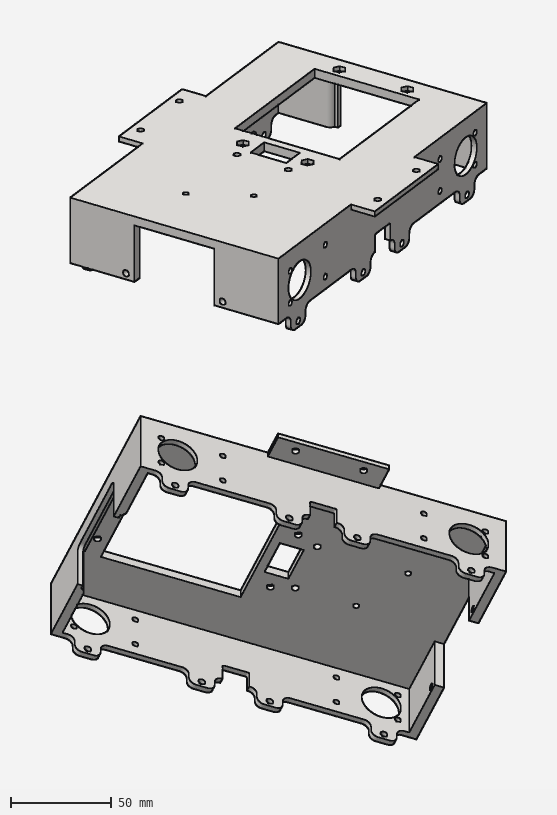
import cadquery as cq

length = 195.5
body_width = 122.4
total_width = 150.3
total_height = 47.0

plate_thickness = 5.0
wall_depth = 37.0
side_wall = 3.1
end_wall = 5.0
cut_margin = 2.0

flange_length = 59.5
flange_thickness = 3.0
flange_hole_x = 69.6
flange_hole_y = 18.2
hole_diameter = 3.5

tab_width = 13.9
tab_hole_depth = 43.4
inner_tab_y = 18.2
outer_tab_y = 79.2
tab_corner_radius = 4.0
tab_root_radius = 4.0

notch_width = 14.3
notch_top = 27.0
notch_corner_radius = 1.0

shaft_y = 77.8
shaft_diameter = 21.0
motor_axis_depth = 21.0
motor_screw_diameter = 3.1
motor_screw_spacing_z = 18.0
motor_screw_ys = (53.8, 86.6)

window_width = 61.4
window_y_min = 8.2
window_y_max = 82.9
slot_width = 21.0
slot_y_min = -9.4
slot_y_max = 3.3

nut_places = ((20.0, 89.0), (19.0, -3.1))
nut_corner_diameter = 6.8
nut_depth = 2.5
nut_screw_diameter = 3.5
plate_hole_x = 15.0
plate_hole_y = -14.9
small_hole_diameter = 3.0
small_hole_places = ((15.2, -47.5), (-14.7, -63.5))

front_opening_width = 46.7
front_hole_x = 28.3
front_hole_depth = 33.5

back_opening_width = 49.3
back_opening_top = 10.4
back_corner_radius = 3.5
back_lip = 2.7
inner_opening_width = 53.2
inner_opening_top = 8.5
inner_round_width = 3.3
inner_round_radius = 3.5


def block(x_min, x_max, y_min, y_max, z_min, z_max):
    size = (x_max - x_min, y_max - y_min, z_max - z_min)
    return cq.Workplane("XY").box(*size, centered=False).translate((x_min, y_min, z_min))


def centred_block(width, y_min, y_max, z_min, z_max):
    return block(-width / 2, width / 2, y_min, y_max, z_min, z_max)


def plate_holes(places, diameter):
    """Holes down through the top plate, placed by (X, Y)."""
    depth = plate_thickness + cut_margin
    return (
        cq.Workplane("XY").pushPoints(places)
        .circle(diameter / 2).extrude(-depth)
    )


def cross_holes(places, diameter):
    """Holes along X through both side walls, placed by (Y, Z)."""
    return (
        cq.Workplane("YZ").pushPoints(places)
        .circle(diameter / 2).extrude(total_width / 2, both=True)
    )


def make_shell():
    shell = centred_block(body_width, -length / 2, length / 2, -wall_depth, 0)
    cavity = centred_block(
        body_width - 2 * side_wall, -length / 2 + end_wall, length / 2 - end_wall,
        -wall_depth - cut_margin, -plate_thickness)
    flanges = centred_block(total_width, -flange_length / 2, flange_length / 2, -flange_thickness, 0)
    return shell.cut(cavity).union(flanges)


def make_tab(y):
    """One pair of tabs, one under each side wall, flared into the wall's lower edge."""
    half = tab_width / 2
    root = half + tab_root_radius
    corner = tab_corner_radius
    profile = (
        cq.Workplane("YZ")
        .moveTo(y - root, -wall_depth)
        .radiusArc((y - half, -wall_depth - tab_root_radius), tab_root_radius)
        .lineTo(y - half, -total_height + corner)
        .radiusArc((y - half + corner, -total_height), -corner)
        .lineTo(y + half - corner, -total_height)
        .radiusArc((y + half, -total_height + corner), -corner)
        .lineTo(y + half, -wall_depth - tab_root_radius)
        .radiusArc((y + root, -wall_depth), tab_root_radius)
        .close()
    )
    pair = profile.extrude(body_width / 2, both=True)
    gap = centred_block(body_width - 2 * side_wall, -length, length, -total_height, 0)
    return pair.cut(gap)


def make_side_cuts():
    notch = centred_block(
        total_width, -notch_width / 2, notch_width / 2, -total_height, -notch_top
    ).edges("|X and >Z").fillet(notch_corner_radius)
    shafts = cross_holes([(y, -motor_axis_depth) for y in (-shaft_y, shaft_y)], shaft_diameter)
    screw_places = [
        (side * y, -motor_axis_depth + row * motor_screw_spacing_z / 2)
        for side in (-1, 1)
        for y in motor_screw_ys
        for row in (-1, 1)
    ]
    screws = cross_holes(screw_places, motor_screw_diameter)
    tab_places = [(side * y, -tab_hole_depth) for side in (-1, 1) for y in (inner_tab_y, outer_tab_y)]
    return notch, shafts, screws, cross_holes(tab_places, hole_diameter)


def make_plate_cuts():
    bottom = -plate_thickness - cut_margin
    window = centred_block(window_width, window_y_min, window_y_max, bottom, cut_margin)
    slot = centred_block(slot_width, slot_y_min, slot_y_max, bottom, cut_margin)
    nut_centres = [(side * x, y) for side in (-1, 1) for x, y in nut_places]
    nuts = (
        cq.Workplane("XY").pushPoints(nut_centres)
        .polygon(6, nut_corner_diameter).extrude(-nut_depth)
    )
    nut_screws = plate_holes(nut_centres, nut_screw_diameter)
    screw_centres = [(side * flange_hole_x, y) for side in (-1, 1) for y in (-flange_hole_y, flange_hole_y)]
    screw_centres += [(side * plate_hole_x, plate_hole_y) for side in (-1, 1)]
    screws = plate_holes(screw_centres, hole_diameter)
    return window, slot, nuts, nut_screws, screws, plate_holes(small_hole_places, small_hole_diameter)


def make_front_cuts():
    outer = -length / 2 - cut_margin
    inner = -length / 2 + end_wall
    opening = centred_block(front_opening_width, outer, inner, -total_height, -plate_thickness)
    holes = (
        cq.Workplane("XZ", origin=(0, outer, 0))
        .pushPoints([(side * front_hole_x, -front_hole_depth) for side in (-1, 1)])
        .circle(hole_diameter / 2)
        .extrude(outer - inner)
    )
    return opening, holes


def make_back_cuts():
    """Opening through the outer lip and the wider, rounded opening in the layer behind it."""
    inner = length / 2 - end_wall
    lip = length / 2 - back_lip
    opening = centred_block(
        back_opening_width, inner, length / 2, -total_height, -back_opening_top
    ).edges("|Y and >Z").fillet(back_corner_radius)
    half = inner_opening_width / 2
    rounded_half = half + inner_round_width
    inner_opening = (
        cq.Workplane("XY").workplane(offset=-total_height)
        .moveTo(-half, lip)
        .lineTo(half, lip)
        .radiusArc((rounded_half, inner), -inner_round_radius)
        .lineTo(-rounded_half, inner)
        .radiusArc((-half, lip), -inner_round_radius)
        .close()
        .extrude(total_height - plate_thickness)
    )
    return opening, inner_opening


def make_back_wedge():
    """Sloped rib under the plate along the top of the back wall's inner opening."""
    lip = length / 2 - back_lip
    rise = inner_opening_top - plate_thickness
    return (
        cq.Workplane("YZ")
        .moveTo(lip, -plate_thickness)
        .lineTo(lip, -inner_opening_top)
        .lineTo(lip - rise, -plate_thickness)
        .close()
        .extrude(inner_opening_width / 2 + inner_round_width, both=True)
    )


result = make_shell()
for tab_y in (-outer_tab_y, -inner_tab_y, inner_tab_y, outer_tab_y):
    result = result.union(make_tab(tab_y))
for cutter in (*make_side_cuts(), *make_plate_cuts(), *make_front_cuts(), *make_back_cuts()):
    result = result.cut(cutter)
result = result.union(make_back_wedge())